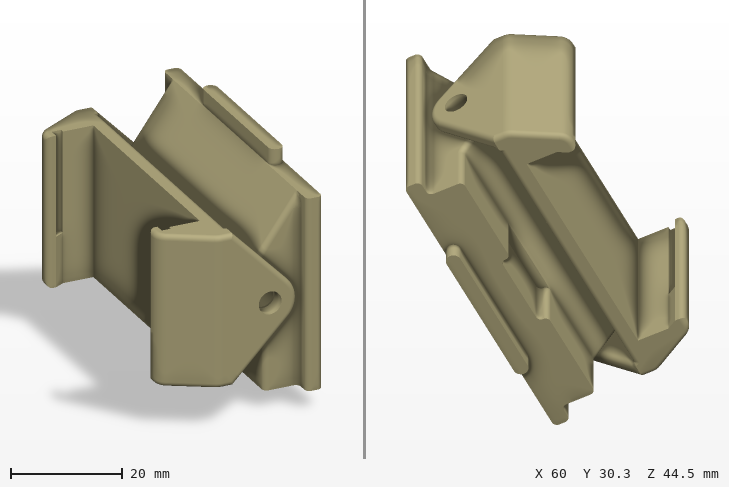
import cadquery as cq
import math


tolerance = 0.001

hinge_hole_diameter = 4.5
hinge_wall = 3.0
hinge_radius = hinge_hole_diameter / 2 + hinge_wall
hinge_gap = 2.0
overall_width = 60.01
edge_round = 1.0

plate_height = 38.1
plate_thickness = 3.175
plate_front = hinge_radius + hinge_gap
plate_middle = plate_front + plate_thickness / 2
plate_top = plate_height / 2
tongue_width = 29.6
tongue_thickness = 2.75
tongue_length = 44.45

block_width = 53.0
foot_front = 0.42
foot_corner_round = 1.0
recess_width = 15.0
recess_round = 0.95
recess_depth = 2 * recess_round

bracket_height = 30.0
bracket_top = bracket_height / 2
half_width = overall_width / 2
arm_thickness = 3.0
arm_inner = half_width - arm_thickness
arm_corner_round = 0.5
web_back = -(hinge_radius + hinge_gap)
web_thickness = 3.0
web_front = web_back - web_thickness

pocket_half_width = 44.45 / 2
pocket_depth = 9.6
hook_end = web_front - pocket_depth
flare_angle = 30.0
flare_half_width = half_width - pocket_depth * math.tan(math.radians(flare_angle))
flare_round = 3.0
lip_height = 1.05
lip_half_width = pocket_half_width - lip_height
lip_ramp_start = -16.3
lip_ramp_end = -18.15
notch_depth = 0.75
notch_floor = -5.0


def touch_point(y, z, side):
    """Point in the YZ plane where a line from (y, z) touches the hinge circle, on side 1 or -1."""
    angle = math.atan2(z, y) + side * math.acos(hinge_radius / math.hypot(y, z))
    return hinge_radius * math.cos(angle), hinge_radius * math.sin(angle)


def make_hinge_hole():
    return cq.Workplane("YZ").circle(hinge_hole_diameter / 2).extrude(half_width, both=True)



slope_end_y, slope_end_z = touch_point(plate_front, plate_top, 1)
slope_angle = math.atan2(plate_front - slope_end_y, plate_top - slope_end_z)
foot_top = -slope_end_z - (foot_front - slope_end_y) / math.tan(slope_angle)


def make_plate():
    plate = (
        cq.Workplane("XY", origin=(0, plate_middle, 0))
        .box(overall_width, plate_thickness, plate_height)
        .edges("|Z")
        .fillet(edge_round)
    )
    tongue = (
        cq.Workplane("XY", origin=(0, plate_middle, -tongue_length / 2))
        .slot2D(tongue_width, tongue_thickness)
        .extrude(tongue_length)
    )
    return plate, tongue


def make_hinge_block():
    block = (
        cq.Workplane("YZ")
        .moveTo(plate_middle, plate_top)
        .lineTo(plate_front, plate_top)
        .lineTo(slope_end_y, slope_end_z)
        .threePointArc((-hinge_radius, 0), (slope_end_y, -slope_end_z))
        .lineTo(foot_front, foot_top)
        .lineTo(foot_front, -plate_top)
        .lineTo(plate_middle, -plate_top)
        .close()
        .extrude(block_width / 2, both=True)
    )
    foot_corner = cq.selectors.NearestToPointSelector((0, foot_front, foot_top))
    block = block.edges(foot_corner).fillet(foot_corner_round)

    def is_front_edge(edge):
        middle = edge.Center()
        return middle.y < plate_front - tolerance and middle.z > -plate_top + tolerance

    return block.faces("<X or >X").edges().filter(is_front_edge).fillet(edge_round)


def make_foot_recess():
    """Shallow recess in the middle of the foot, with S-curved sides."""
    half_recess = recess_width / 2
    top = foot_top - foot_corner_round * math.tan(slope_angle / 2)
    return (
        cq.Workplane("XY", origin=(0, 0, -plate_top))
        .moveTo(0, foot_front + recess_depth)
        .lineTo(half_recess - recess_round, foot_front + recess_depth)
        .radiusArc((half_recess, foot_front + recess_round), recess_round)
        .radiusArc((half_recess + recess_round, foot_front), -recess_round)
        .lineTo(0, foot_front)
        .mirrorY()
        .extrude(top + plate_top)
    )


def make_mount():
    plate, tongue = make_plate()
    body = plate.union(make_hinge_block())

    def is_block_seam(edge):
        box = edge.BoundingBox()
        in_plate_face = abs(box.ymin - plate_front) < tolerance and abs(box.ymax - plate_front) < tolerance
        distance_inside = block_width / 2 - abs(edge.Center().x)
        return in_plate_face and -tolerance < distance_inside < edge_round

    body = body.edges().filter(is_block_seam).fillet(edge_round)
    return body.union(tongue).cut(make_foot_recess()).cut(make_hinge_hole())



def make_bracket_blank():
    """Web, arms and flared sides, before the clip pocket is cut."""
    plan = (
        cq.Workplane("XY")
        .moveTo(0, web_back)
        .lineTo(arm_inner, web_back)
        .lineTo(arm_inner, hinge_radius)
        .lineTo(half_width, hinge_radius)
        .lineTo(half_width, web_front)
        .lineTo(flare_half_width, hook_end)
        .lineTo(0, hook_end)
        .mirrorY()
        .extrude(bracket_top, both=True)
    )
    corners = (
        (half_width, web_front, flare_round),
        (flare_half_width, hook_end, flare_round),
        (arm_inner, web_back, arm_corner_round),
    )
    for side in (-1, 1):
        for x, y, radius in corners:
            corner = cq.selectors.NearestToPointSelector((side * x, y, 0))
            plan = plan.edges("|Z").edges(corner).fillet(radius)

    arm_end_y, arm_end_z = touch_point(web_back, bracket_top, -1)
    side_shape = (
        cq.Workplane("YZ")
        .moveTo(hook_end, bracket_top)
        .lineTo(web_back, bracket_top)
        .lineTo(arm_end_y, arm_end_z)
        .threePointArc((hinge_radius, 0), (arm_end_y, -arm_end_z))
        .lineTo(web_back, -bracket_top)
        .lineTo(hook_end, -bracket_top)
        .close()
        .extrude(half_width, both=True)
    )
    return plan.intersect(side_shape)


def round_bracket_rim(blank):
    """Round the top, bottom and arm edges, but not the creases that cross an arm."""

    def is_rim(edge):
        box = edge.BoundingBox()
        crosses_arm = box.ylen < tolerance and abs(edge.Center().x) > arm_inner
        return not crosses_arm

    return blank.edges("not |Z").filter(is_rim).fillet(edge_round)


def make_clip_pocket():
    """Opening between the hooks, narrowed by a ramped lip on each side and rounded at its mouth."""
    return (
        cq.Workplane("XY")
        .moveTo(0, web_front)
        .lineTo(pocket_half_width, web_front)
        .lineTo(pocket_half_width, lip_ramp_start)
        .lineTo(lip_half_width, lip_ramp_end)
        .lineTo(lip_half_width, hook_end + edge_round)
        .radiusArc((lip_half_width + edge_round, hook_end), -edge_round)
        .lineTo(0, hook_end)
        .mirrorY()
        .extrude(bracket_top, both=True)
    )


def make_lip_notches():
    """One block that cuts back the ramp of both lips, from the notch floor up to the top."""
    return (
        cq.Workplane("XY", origin=(0, lip_ramp_end, notch_floor))
        .box(
            2 * (pocket_half_width + notch_depth),
            lip_ramp_start - lip_ramp_end,
            bracket_top - notch_floor,
            centered=(True, False, False),
        )
    )


def make_bracket():
    body = round_bracket_rim(make_bracket_blank())
    return body.cut(make_clip_pocket()).cut(make_lip_notches()).cut(make_hinge_hole())


mount = make_mount()
bracket = make_bracket()

result = cq.Compound.makeCompound([mount.val(), bracket.val()])